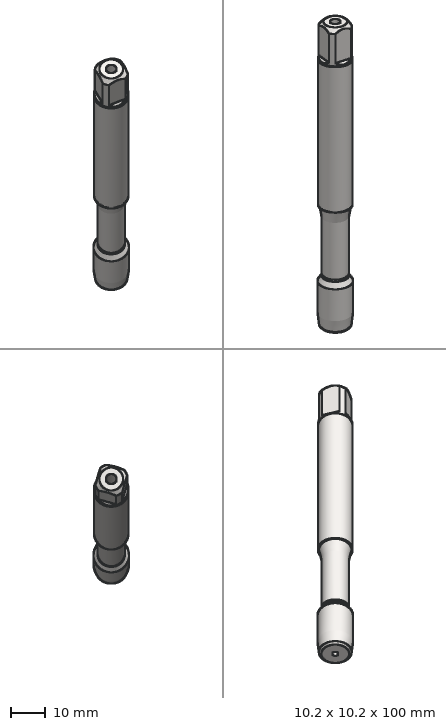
import cadquery as cq

TOTAL_LENGTH = 100
SPLIT_HEIGHT = 17.4
SHOULDER_HEIGHT = 40
NECK_TAPER_LENGTH = 4
SQUARE_LENGTH = 11
RUNOUT_LENGTH = 1

SHANK_DIAMETER = 10
NECK_DIAMETER = 7.9
TAPER_TOP_DIAMETER = 9.3
DRIVE_DIAMETER = 9.6
DRIVE_STEP_CHAMFER = (SHANK_DIAMETER - DRIVE_DIAMETER) / 2
SQUARE_WIDTH = 8
TOP_FACE_DIAMETER = 6.8
SHANK_BORE_DIAMETER = 3

HEAD_DIAMETER = 10.2
HEAD_CONE_TOP = 16.7
HEAD_CONE_BOTTOM = 14.9
LEAD_HEIGHT = 4.4
LEAD_DIAMETER = 9.4
TIP_CHAMFER = 0.7
HEAD_BORE_DIAMETER = 1.7


def revolve_profile(profile):
    """Turn a closed (radius, height) outline about the Z axis."""
    return cq.Workplane("XZ").polyline(profile).close().revolve(360, (0, 0), (0, 1))


def cut_drive_square(shank):
    """Cut four flats whose lower ends slope out at 45 degrees."""
    flat = SQUARE_WIDTH / 2
    outside = flat + RUNOUT_LENGTH
    flat_bottom = TOTAL_LENGTH - SQUARE_LENGTH
    cutter = (
        cq.Workplane("XZ")
        .polyline([
            (flat, TOTAL_LENGTH),
            (flat, flat_bottom),
            (outside, flat_bottom - RUNOUT_LENGTH),
            (outside, TOTAL_LENGTH),
        ])
        .close()
        .extrude(SHANK_DIAMETER / 2, both=True)
    )
    for side in range(4):
        shank = shank.cut(cutter.rotate((0, 0, 0), (0, 0, 1), side * 90))
    return shank


def make_shank():
    """Bored shank with a tapered neck below and a drive square on top."""
    bore = SHANK_BORE_DIAMETER / 2
    neck = NECK_DIAMETER / 2
    body = SHANK_DIAMETER / 2
    drive = DRIVE_DIAMETER / 2
    top_face = TOP_FACE_DIAMETER / 2
    body_top = TOTAL_LENGTH - SQUARE_LENGTH - RUNOUT_LENGTH
    top_chamfer = drive - top_face
    blank = revolve_profile([
        (bore, SPLIT_HEIGHT),
        (neck, SPLIT_HEIGHT),
        (neck, SHOULDER_HEIGHT - NECK_TAPER_LENGTH),
        (TAPER_TOP_DIAMETER / 2, SHOULDER_HEIGHT),
        (body, SHOULDER_HEIGHT),
        (body, body_top - DRIVE_STEP_CHAMFER),
        (drive, body_top),
        (drive, TOTAL_LENGTH - top_chamfer),
        (top_face, TOTAL_LENGTH),
        (bore, TOTAL_LENGTH),
    ])
    return cut_drive_square(blank)


def make_head():
    """Bored working head with a cone above and a tapered, chamfered lead."""
    bore = HEAD_BORE_DIAMETER / 2
    neck = NECK_DIAMETER / 2
    head = HEAD_DIAMETER / 2
    lead = LEAD_DIAMETER / 2
    return revolve_profile([
        (bore, 0),
        (lead - TIP_CHAMFER, 0),
        (lead, TIP_CHAMFER),
        (head, LEAD_HEIGHT),
        (head, HEAD_CONE_BOTTOM),
        (neck, HEAD_CONE_TOP),
        (neck, SPLIT_HEIGHT),
        (bore, SPLIT_HEIGHT),
    ])


shank = make_shank()
head = make_head()

result = cq.Compound.makeCompound([shank.val(), head.val()])